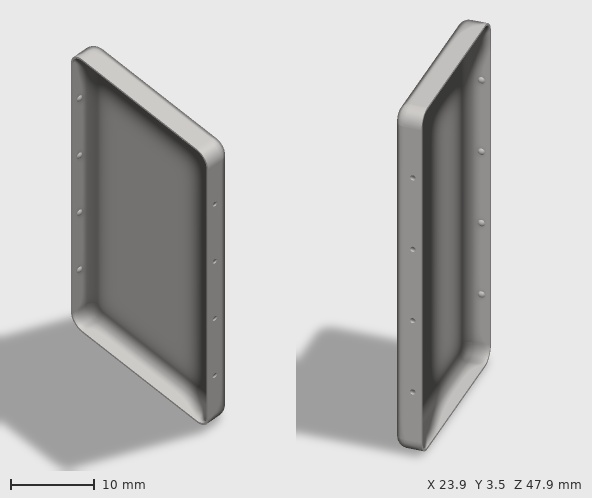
import cadquery as cq

width = 23.9
depth = 3.5
height = 47.9
wall = 0.3
corner_radius = 2.0
back_fillet = 1.3

detent_count = 4
detent_pitch = 10.0
detent_from_rim = 1.1
dent_radius = 0.35
bump_radius = 0.55


def rounded_block(inset):
    """Block inset from the tray's sides and back, with rounded corners and back edge."""
    return (
        cq.Workplane("XZ")
        .rect(width - 2 * inset, height - 2 * inset)
        .extrude(depth - inset)
        .edges("|Y")
        .fillet(corner_radius - inset)
        .faces(">Y")
        .edges()
        .fillet(back_fillet - inset)
        .translate((0, depth - inset, 0))
    )


def dome(radius, side, z):
    """Half ball bulging inward from the outer face of one side wall."""
    return (
        cq.Workplane("XY")
        .lineTo(0, radius)
        .radiusArc((-side * radius, 0), -side * radius)
        .close()
        .revolve(360, (0, 0), (1, 0))
        .translate((side * width / 2, detent_from_rim, z))
    )


tray = rounded_block(0).cut(rounded_block(wall))

for side in (-1, 1):
    for index in range(detent_count):
        detent_z = (index - (detent_count - 1) / 2) * detent_pitch
        tray = tray.union(dome(bump_radius, side, detent_z))
        tray = tray.cut(dome(dent_radius, side, detent_z))

result = tray